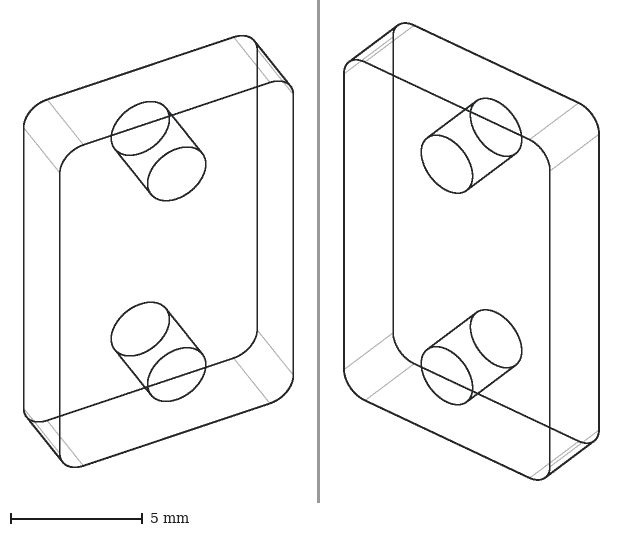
import cadquery as cq

height = 16.0
width = 10.0
thickness = 3.0
corner_radius = 1.0
hole_diameter = 2.5
hole_spacing = width


def rounded_plate():
    """Upright plate with its four corners rounded through the thickness."""
    plate = cq.Workplane("XY").box(thickness, width, height)
    return plate.edges("|X").fillet(corner_radius)


def drill_holes(plate):
    """Two through holes on the vertical centreline, evenly about the middle."""
    hole_centres = [(0, side * hole_spacing / 2) for side in (-1, 1)]
    return plate.faces("<X").workplane().pushPoints(hole_centres).hole(hole_diameter)


result = drill_holes(rounded_plate())